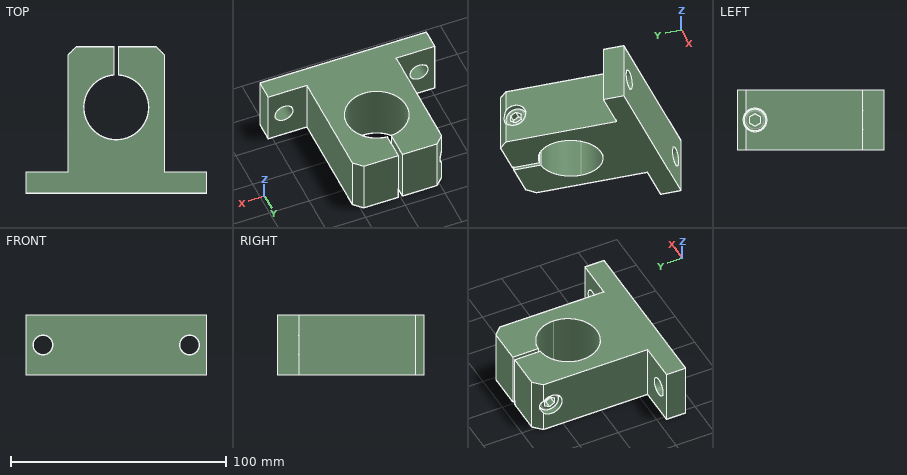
import cadquery as cq

base_length = 84.0
base_thickness = 10.0
total_depth = 68.2
height = 28.0

block_width = 45.0
corner_chamfer = 4.0

bore_diameter = 30.0
bore_y = 40.0
slot_width = 2.0

mount_hole_diameter = 9.0
mount_hole_spacing = 68.0

screw_y = 60.0
counterbore_diameter = 11.0
counterbore_depth = 8.0
head_diameter = 10.0
head_height = 6.0
head_fillet = 0.75
socket_across_flats = 5.0
socket_depth = 4.0

mid_z = height / 2
block_side_x = -block_width / 2


def make_body():
    base = cq.Workplane("XY").box(base_length, base_thickness, height, centered=(True, False, False))
    block = (
        cq.Workplane("XY")
        .box(block_width, total_depth, height, centered=(True, False, False))
        .edges("|Z and >Y")
        .chamfer(corner_chamfer)
    )
    return base.union(block)


def make_bore_and_slot():
    bore = cq.Workplane("XY").center(0, bore_y).circle(bore_diameter / 2).extrude(height)
    slot = (
        cq.Workplane("XY")
        .center(0, bore_y)
        .box(slot_width, total_depth - bore_y, height, centered=(True, False, False))
    )
    return bore.union(slot)


def make_mount_holes():
    half_spacing = mount_hole_spacing / 2
    return (
        cq.Workplane("XZ")
        .pushPoints([(-half_spacing, mid_z), (half_spacing, mid_z)])
        .circle(mount_hole_diameter / 2)
        .extrude(-base_thickness)
    )


def screw_plane(x):
    """Workplane facing +X, centred on the screw axis."""
    return cq.Workplane("YZ", origin=(x, screw_y, mid_z))


def make_screw_head():
    """Rounded socket head seated on the counterbore floor."""
    floor_x = block_side_x + counterbore_depth
    top_x = floor_x - head_height
    head = (
        screw_plane(top_x)
        .circle(head_diameter / 2)
        .extrude(head_height)
        .faces("<X")
        .edges()
        .fillet(head_fillet)
    )
    socket = (
        screw_plane(top_x)
        .polygon(6, socket_across_flats, circumscribed=True)
        .extrude(socket_depth)
    )
    return head.cut(socket)


counterbore = screw_plane(block_side_x).circle(counterbore_diameter / 2).extrude(counterbore_depth)

result = (
    make_body()
    .cut(make_bore_and_slot())
    .cut(make_mount_holes())
    .cut(counterbore)
    .union(make_screw_head())
)